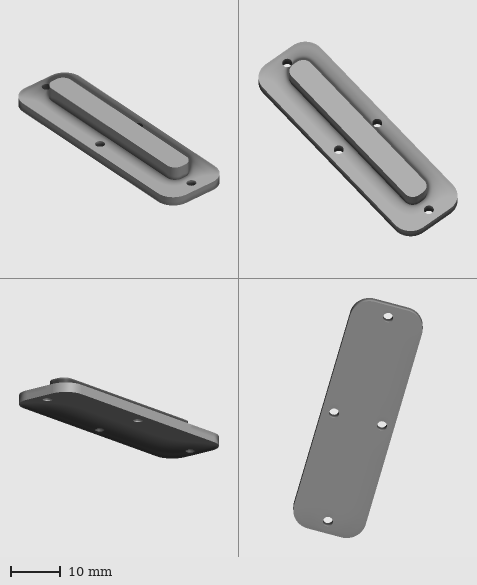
import cadquery as cq

plate_length = 50
plate_width = 15
plate_thickness = 2
plate_corner_radius = 4

bar_length = 40
bar_width = 5
bar_height = 3
bar_corner_radius = 2

hole_diameter = 2
hole_x = (plate_length + bar_length) / 4
hole_y = (plate_width + bar_width) / 4
hole_centres = [(-hole_x, 0), (hole_x, 0), (0, -hole_y), (0, hole_y)]


def rounded_block(length, width, height, corner_radius):
    """Block standing on Z = 0 with rounded vertical edges."""
    block = cq.Workplane("XY").box(length, width, height, centered=(True, True, False))
    return block.edges("|Z").fillet(corner_radius)


plate = rounded_block(plate_length, plate_width, plate_thickness, plate_corner_radius)
bar = rounded_block(bar_length, bar_width, bar_height, bar_corner_radius)
holes = (
    cq.Workplane("XY")
    .pushPoints(hole_centres)
    .circle(hole_diameter / 2)
    .extrude(plate_thickness)
)

result = plate.cut(holes).union(bar.translate((0, 0, plate_thickness)))